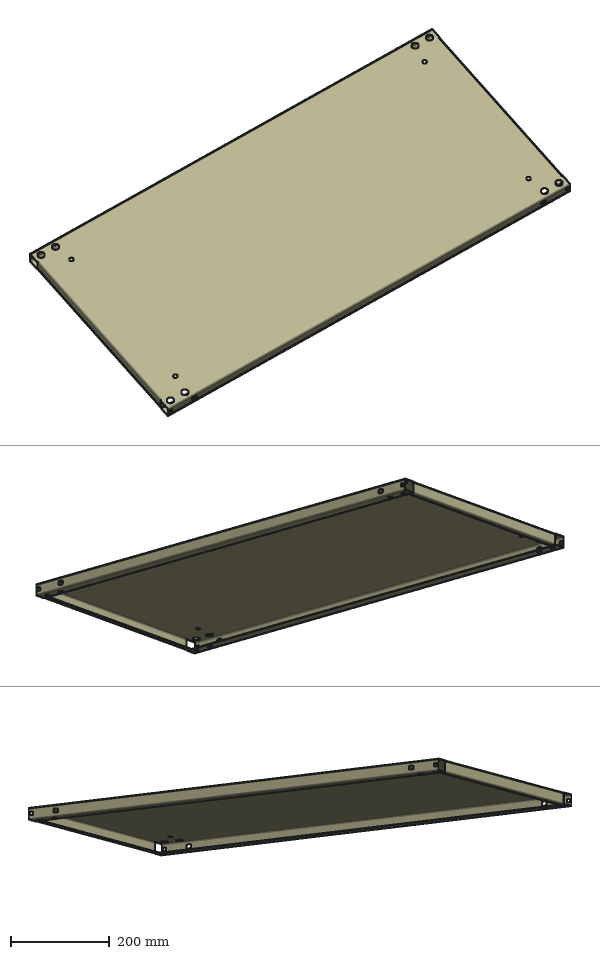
import cadquery as cq

width = 486.0
length = 995.0
height = 25.0
sheet = 1.5

side_bend = 2.5
return_width = 25.0

end_bend = 2.5
end_return_width = 12.0
corner_gap = 27.0

corner_hole_inset = 16.0
corner_hole_offsets = (17.0, 53.0)
top_hole_diameter = 15.0
return_hole_diameter = 10.0

small_hole_inset = 61.0
small_hole_diameter = 9.0

wall_end_hole_offset = 7.0
wall_end_hole_diameter = 8.0
wall_slot_offset = 66.0
wall_slot_length = 12.0
wall_slot_height = 9.0


def make_side_channel():
    """Top sheet with side walls and inward return flanges, open at both ends."""
    outer = (
        cq.Workplane("XY")
        .box(width, length, height, centered=(True, True, False))
        .edges("|Y")
        .fillet(side_bend)
    )
    cavity = (
        cq.Workplane("XY")
        .workplane(offset=sheet)
        .box(width - 2 * sheet, length, height - 2 * sheet, centered=(True, True, False))
        .edges("|Y")
        .fillet(side_bend - sheet)
    )
    bottom_opening = cq.Workplane("XY").box(
        width - 2 * return_width, length, height, centered=(True, True, True)
    )
    return outer.cut(cavity).cut(bottom_opening)


def make_end_folds():
    """Top sheet strip with a lip and return flange at both ends, between the open corners."""
    fold_width = width - 2 * corner_gap
    outer = (
        cq.Workplane("XY")
        .box(fold_width, length, height, centered=(True, True, False))
        .edges("|X")
        .fillet(end_bend)
    )
    cavity = (
        cq.Workplane("XY")
        .workplane(offset=sheet)
        .box(fold_width, length - 2 * sheet, height - 2 * sheet, centered=(True, True, False))
        .edges("|X")
        .fillet(end_bend - sheet)
    )
    bottom_opening = cq.Workplane("XY").box(
        fold_width, length - 2 * end_return_width, height, centered=(True, True, True)
    )
    return outer.cut(cavity).cut(bottom_opening)


def mirrored_points(x, y):
    return [(sx * x, sy * y) for sx in (-1, 1) for sy in (-1, 1)]


def vertical_holes(points, diameter, bottom, top):
    return (
        cq.Workplane("XY")
        .workplane(offset=bottom)
        .pushPoints(points)
        .circle(diameter / 2)
        .extrude(top - bottom)
    )


between_corners = cq.Workplane("XY").box(
    width - 2 * corner_gap, length, height, centered=(True, True, False)
)
result = make_side_channel().cut(between_corners).union(make_end_folds())

middle = height / 2
for offset in corner_hole_offsets:
    points = mirrored_points(width / 2 - corner_hole_inset, length / 2 - offset)
    result = result.cut(vertical_holes(points, top_hole_diameter, middle, height))
    result = result.cut(vertical_holes(points, return_hole_diameter, 0, middle))

small_points = mirrored_points(width / 2 - small_hole_inset, length / 2 - small_hole_inset)
result = result.cut(vertical_holes(small_points, small_hole_diameter, middle, height))

wall_plane = cq.Workplane("YZ").workplane(offset=-width / 2)
for end in (-1, 1):
    end_hole = (
        wall_plane.center(end * (length / 2 - wall_end_hole_offset), middle)
        .circle(wall_end_hole_diameter / 2)
        .extrude(width)
        .cut(between_corners)
    )
    slot = (
        wall_plane.center(end * (length / 2 - wall_slot_offset), middle)
        .slot2D(wall_slot_length, wall_slot_height)
        .extrude(width)
    )
    result = result.cut(end_hole).cut(slot)